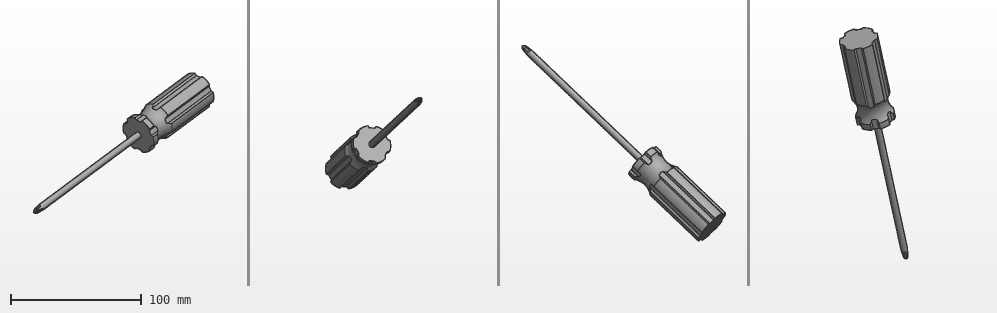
import cadquery as cq
import math

total_length = 205.0
handle_length = 75.0
handle_radius = 15.0

flute_count = 6
flute_floor_distance = 13.1
flute_floor_width = 4.0
flute_mouth_width = 7.0

waist_radius = 12.0
waist_half_length = 8.8
waist_from_face = 14.1

shaft_radius = 2.7
tip_radius = 2.0
tip_length = 9.0
nose_length = 2.5
nose_end_radius = 0.6
nose_bulge = 0.2

tip_flute_count = 4
tip_flute_length = 7.8
tip_flute_width = 1.6
tip_core_radius = 0.8

cut_clearance = 2.0

tip_y = -total_length / 2
butt_y = total_length / 2
handle_face_y = butt_y - handle_length
waist_y = handle_face_y + waist_from_face


def spin(outline):
    """Turn an XY half outline around the Y axis."""
    return outline.close().revolve(360, (0, 0, 0), (0, 1, 0))


def repeat_around_axis(cutter, count):
    """Copies of a cutter spaced evenly around Y, the first one facing +Z."""
    copies = cq.Workplane("XY")
    for i in range(count):
        copies = copies.add(cutter.rotate((0, 0, 0), (0, 1, 0), i * 360 / count))
    return copies.combine()


def make_handle():
    blank = spin(
        cq.Workplane("XY")
        .moveTo(0, handle_face_y)
        .lineTo(handle_radius, handle_face_y)
        .lineTo(handle_radius, waist_y - waist_half_length)
        .threePointArc((waist_radius, waist_y), (handle_radius, waist_y + waist_half_length))
        .lineTo(handle_radius, butt_y)
        .lineTo(0, butt_y)
    )
    mouth_half_width = flute_mouth_width / 2
    floor_half_width = flute_floor_width / 2
    mouth_distance = math.sqrt(handle_radius**2 - mouth_half_width**2)
    flute = (
        cq.Workplane("XZ", origin=(0, butt_y, 0))
        .moveTo(-floor_half_width, flute_floor_distance)
        .lineTo(floor_half_width, flute_floor_distance)
        .lineTo(mouth_half_width, mouth_distance)
        .lineTo(mouth_half_width, handle_radius + cut_clearance)
        .lineTo(-mouth_half_width, handle_radius + cut_clearance)
        .lineTo(-mouth_half_width, mouth_distance)
        .close()
        .extrude(handle_length)
    )
    return blank.cut(repeat_around_axis(flute, flute_count))


def make_shaft():
    taper_start_y = tip_y + tip_length
    nose_y = tip_y + nose_length
    nose_middle = ((tip_radius + nose_end_radius) / 2 + nose_bulge, tip_y + nose_length / 2 - nose_bulge)
    blank = spin(
        cq.Workplane("XY")
        .moveTo(0, tip_y)
        .lineTo(nose_end_radius, tip_y)
        .threePointArc(nose_middle, (tip_radius, nose_y))
        .lineTo(shaft_radius, taper_start_y)
        .lineTo(shaft_radius, handle_face_y)
        .lineTo(0, handle_face_y)
    )
    taper_slope = (shaft_radius - tip_radius) / (tip_length - nose_length)
    tip_flute_start_radius = tip_radius + taper_slope * (tip_flute_length - nose_length)
    slot = (
        cq.Workplane("YZ")
        .moveTo(tip_y, tip_core_radius)
        .lineTo(tip_y + tip_flute_length, tip_flute_start_radius)
        .lineTo(tip_y + tip_flute_length, shaft_radius + cut_clearance)
        .lineTo(tip_y, shaft_radius + cut_clearance)
        .close()
        .extrude(tip_flute_width / 2, both=True)
    )
    return blank.cut(repeat_around_axis(slot, tip_flute_count))


result = make_handle().union(make_shaft())